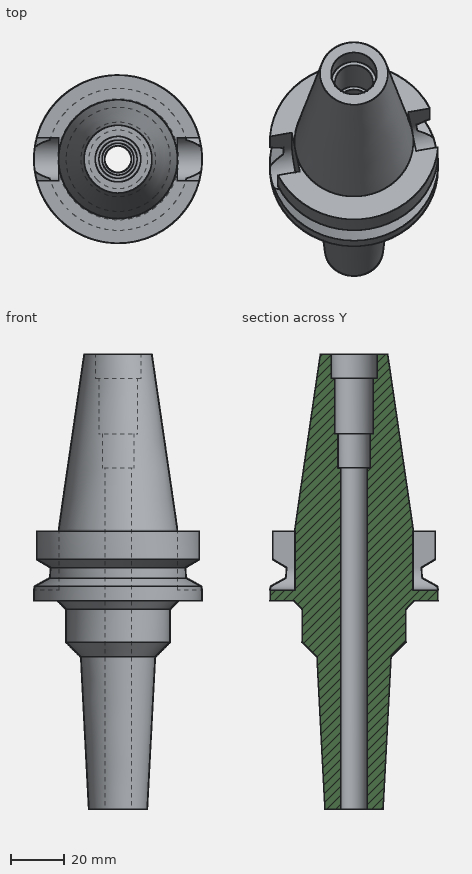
import cadquery as cq

total_length = 170.4
taper_length = 65.5
collar_height = 0.9
flange_bottom_z = 78.0
lower_rim_height = 5.5
groove_floor_height = 4.0
groove_flank_height = 3.0
neck_cone_height = 3.2
boss_bottom_z = 62.5

taper_ratio = 7 / 24
taper_large_diameter = 44.5
taper_large_radius = taper_large_diameter / 2
flange_radius = 31.5
groove_radius = 26.5
neck_radius = 22.7
boss_diameter = 39.0
boss_radius = boss_diameter / 2
nose_top_radius = 14.0
nose_tip_diameter = 22.0
nose_tip_radius = nose_tip_diameter / 2

through_radius = 5.0
bore_steps = [(8.5, 9.0), (7.2, 29.8), (6.0, 42.6)]

slot_half_width = 8.0
slot_inner_x = 22.2
slot_bottom_z = 82.1

taper_small_radius = taper_large_radius - taper_length * taper_ratio / 2
gauge_z = total_length - taper_length
flange_top_z = gauge_z - collar_height
lower_rim_top_z = flange_bottom_z + lower_rim_height
groove_bottom_z = lower_rim_top_z + groove_flank_height
groove_top_z = groove_bottom_z + groove_floor_height
upper_rim_bottom_z = groove_top_z + groove_flank_height
boss_top_z = flange_bottom_z - neck_cone_height
nose_top_z = boss_bottom_z - (boss_radius - nose_top_radius)


def make_body():
    """Revolve the outer (radius, height) profile about the Z axis."""
    profile = [
        (0, 0),
        (nose_tip_radius, 0),
        (nose_top_radius, nose_top_z),
        (boss_radius, boss_bottom_z),
        (boss_radius, boss_top_z),
        (neck_radius, flange_bottom_z),
        (flange_radius, flange_bottom_z),
        (flange_radius, lower_rim_top_z),
        (groove_radius, groove_bottom_z),
        (groove_radius, groove_top_z),
        (flange_radius, upper_rim_bottom_z),
        (flange_radius, flange_top_z),
        (taper_large_radius, flange_top_z),
        (taper_large_radius, gauge_z),
        (taper_small_radius, total_length),
        (0, total_length),
    ]
    return cq.Workplane("XZ").polyline(profile).close().revolve(360, (0, 0), (0, 1))


def make_bore():
    """Through hole widened in steps towards the small end of the taper."""
    bore = cq.Workplane("XY").circle(through_radius).extrude(total_length)
    for radius, depth in bore_steps:
        step = cq.Workplane("XY", origin=(0, 0, total_length)).circle(radius).extrude(-depth)
        bore = bore.union(step)
    return bore


def make_drive_slot(side):
    """Round-bottomed slot cut in from the rim; side is +1 or -1 along X."""
    arc_z = slot_bottom_z + slot_half_width
    return (
        cq.Workplane("YZ", origin=(side * slot_inner_x, 0, 0))
        .moveTo(-slot_half_width, flange_top_z)
        .lineTo(-slot_half_width, arc_z)
        .threePointArc((0, slot_bottom_z), (slot_half_width, arc_z))
        .lineTo(slot_half_width, flange_top_z)
        .close()
        .extrude(side * flange_radius)
    )


result = make_body().cut(make_bore())
for side in (-1, 1):
    result = result.cut(make_drive_slot(side))